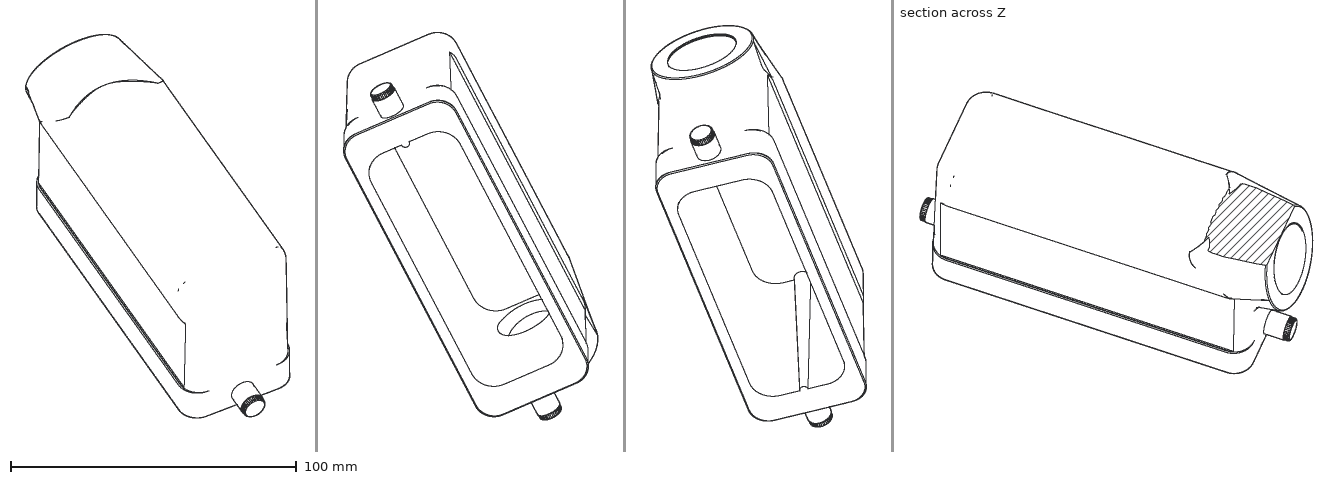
import cadquery as cq
import math

base_length = 120.1
base_width = 43.0
roof_length = 117.3
body_width = 41.7
hood_height = 62.6
corner_radius = 7.5
roof_fillet = 3.4
rim_height = 13.1
rim_edge = 0.4
shoulder_bevel = 0.7
panel_bottom_width = 40.8
panel_top_width = 39.8

overall_left = -72.9
overall_height = 69.2
pin_reach = 69.5
pin_height = 6.3
pin_diameter = 8.8
tip_diameter = 8.4
tip_core_diameter = 8.0
tip_length = 2.1
tip_chamfer = 0.4
knurl_count = 20
knurl_width = 0.5

neck_tilt = 15.0
neck_radius = 18.8
neck_edge = 0.4
split_drop = 0.5
ridge_x = -37.4
crown_side_angle = 28.0
crown_top_angle = 53.0
junction_fillet = 6.0
crown_blend = 6.5
blend_end = 0.1

bore_diameter = 25.0
bore_drop = 0.7
lead_in_depth = 0.4
bore_depth = 12.8
throat_diameter = 21.0
throat_depth = 25.6

end_wall = 10.7
side_wall = 4.3
roof_wall = 4.3
cavity_corner = 8.5
column_bottom_diameter = 3.0
column_top_diameter = 6.0

tilt = math.radians(neck_tilt)
face_radius = neck_radius - neck_edge
face_x = overall_left + face_radius * math.sin(tilt)
face_z = overall_height - neck_radius * math.cos(tilt) + neck_edge * math.sin(tilt)

split_z = face_z - split_drop / math.cos(tilt)
shoulder_x = (split_z + face_x * math.tan(tilt) - hood_height + ridge_x) / (1 + math.tan(tilt))
shoulder_z = hood_height + shoulder_x - ridge_x
split_angle = -math.degrees(math.asin(split_drop / neck_radius))


def neck_plane(depth):
    """Plane square to the neck axis, its normal pointing into the hood."""
    origin = (face_x + depth * math.cos(tilt), 0, face_z - depth * math.sin(tilt))
    return cq.Plane(origin, xDir=(0, 1, 0), normal=(math.cos(tilt), 0, -math.sin(tilt)))


def rounded_block(bottom, top, z_bottom, z_top, radius):
    """Tapered block between two (length, width) rectangles."""
    rise = cq.Location((0, 0, z_top - z_bottom))
    lower = cq.Sketch().rect(*bottom).vertices().fillet(radius)
    upper = cq.Sketch().rect(*top).vertices().fillet(radius).moved(rise)
    return cq.Workplane("XY", origin=(0, 0, z_bottom)).placeSketch(lower, upper).loft()


def make_hood():
    """Closed drafted block with a rim and recessed side panels."""
    foot = (base_length - 2 * rim_edge, base_width - 2 * rim_edge)
    base = (base_length, base_width)
    body = (base_length, body_width)
    roof = (roof_length, body_width)
    hood = rounded_block(body, roof, rim_height, hood_height, corner_radius)
    hood = hood.faces(">Z").edges().fillet(roof_fillet)
    hood = hood.union(rounded_block(base, base, rim_edge, rim_height, corner_radius))
    hood = hood.union(rounded_block(foot, base, 0, rim_edge, corner_radius - rim_edge))
    for side in (-1, 1):
        recess = (
            cq.Workplane("YZ", origin=(-base_length / 2, 0, 0))
            .polyline([
                (side * base_width, rim_height),
                (side * base_width / 2, rim_height),
                (side * panel_bottom_width / 2, rim_height + rim_edge),
                (side * panel_top_width / 2, shoulder_z - shoulder_bevel),
                (side * body_width / 2, shoulder_z),
                (side * base_width, shoulder_z),
            ])
            .close()
            .extrude(base_length)
        )
        hood = hood.cut(recess)
    return hood


def on_rim(degrees):
    """Point of the entry's rim in the neck plane, measured from its widest point."""
    angle = math.radians(degrees)
    return (neck_radius * math.cos(angle), neck_radius * math.sin(angle))


def make_lower_neck():
    """Half-round underside of the neck, from the face to the shoulder."""
    length = (shoulder_x - face_x) / math.cos(tilt)
    return (
        cq.Workplane(neck_plane(neck_edge))
        .moveTo(*on_rim(split_angle))
        .threePointArc(on_rim(-90), on_rim(180 - split_angle))
        .close()
        .extrude(length)
    )


def neck_crown_profile():
    """Upper half of the entry's rim, split where the flats of the crown begin."""
    low, high = crown_side_angle, crown_top_angle
    return (
        cq.Workplane(neck_plane(neck_edge))
        .moveTo(*on_rim(split_angle))
        .threePointArc(on_rim((split_angle + low) / 2), on_rim(low))
        .threePointArc(on_rim((low + high) / 2), on_rim(high))
        .threePointArc(on_rim(90), on_rim(180 - high))
        .threePointArc(on_rim(180 - (low + high) / 2), on_rim(180 - low))
        .threePointArc(on_rim(180 - (split_angle + low) / 2), on_rim(180 - split_angle))
        .close()
    )


def hood_slant_profile():
    """Section of the hood's upper part in the 45 degree junction plane."""
    half = body_width / 2
    stretch = math.sqrt(2)
    height = (hood_height - shoulder_z) * stretch
    sag = roof_fillet * (1 - math.sqrt(0.5))
    wall_top = height - roof_fillet * stretch
    flat = half - roof_fillet
    mid = (half - sag, height - sag * stretch)
    plane = cq.Plane((shoulder_x, 0, shoulder_z), xDir=(0, 1, 0), normal=(1, 0, -1))
    return (
        cq.Workplane(plane)
        .moveTo(half, 0)
        .lineTo(half, wall_top)
        .threePointArc(mid, (flat, height))
        .lineTo(-flat, height)
        .threePointArc((-mid[0], mid[1]), (-half, wall_top))
        .lineTo(-half, 0)
        .close()
    )


def blend_neck_underside(part):
    """Round the corner where the neck's underside runs into the end wall."""
    wall_x = -base_length / 2
    foot_z = face_z - neck_radius / math.cos(tilt) - (wall_x - face_x) * math.tan(tilt)
    near = (wall_x, -base_width, foot_z - junction_fillet / 2)
    far = (wall_x + corner_radius / 2, base_width, shoulder_z)
    return part.edges(cq.selectors.BoxSelector(near, far)).fillet(junction_fillet)


def make_neck_lip():
    """Bevelled edge of the entry's face."""
    return (
        cq.Workplane(neck_plane(0))
        .circle(face_radius)
        .workplane(offset=neck_edge)
        .circle(neck_radius)
        .loft()
    )


def make_crown_blend():
    """Lens-shaped concave blend between the neck's crown and the roof, widest at mid-width."""
    edge_y = body_width / 2 - roof_fillet
    crown_rise = face_z + neck_radius * math.cos(tilt) - hood_height
    crown_run = ridge_x - face_x - neck_radius * math.sin(tilt)
    wires = []
    for y, reach in ((-edge_y, blend_end), (0, crown_blend), (edge_y, blend_end)):
        rise = reach * crown_rise / crown_run
        wires.append(
            cq.Workplane("XZ", origin=(ridge_x, y, hood_height))
            .moveTo(reach, 0)
            .threePointArc((0, rise / 4), (-reach, rise))
            .lineTo(0, -roof_fillet)
            .close()
            .wire().val()
        )
    return cq.Workplane(cq.Solid.makeLoft(wires, False))


def make_upper_neck():
    """Crown of the neck, changing from the round rim to the hood's section."""
    wires = [neck_crown_profile().wire().val(), hood_slant_profile().wire().val()]
    return cq.Workplane(cq.Solid.makeLoft(wires, True))


def space_above_neck():
    """Everything left of the junction plane and above the crown's lower edge."""
    top = overall_height
    run = shoulder_x - overall_left
    return (
        cq.Workplane("XZ", origin=(0, base_width, 0))
        .polyline([
            (shoulder_x, shoulder_z),
            (ridge_x + top - hood_height, top),
            (overall_left, top),
            (overall_left, shoulder_z + run * math.tan(tilt)),
        ])
        .close()
        .extrude(2 * base_width)
    )


def make_pin(direction):
    """Locking pin along X with a knurled tip; direction is -1 or 1."""
    def rod(diameter, start, end):
        return (
            cq.Workplane("YZ", origin=(direction * start, 0, pin_height))
            .circle(diameter / 2)
            .extrude(direction * (end - start))
        )

    shoulder = pin_reach - tip_length
    pin = rod(pin_diameter, base_length / 2 - end_wall / 2, shoulder)
    tip = rod(tip_diameter, shoulder, pin_reach)
    tip = tip.faces(">X" if direction > 0 else "<X").chamfer(tip_chamfer)
    grooves = (
        cq.Workplane("YZ", origin=(direction * shoulder, 0, pin_height))
        .polarArray(tip_core_diameter / 2 + knurl_width / 2, 0, 360, knurl_count)
        .rect(knurl_width, knurl_width)
        .extrude(direction * tip_length)
    )
    return pin.union(tip.cut(grooves))


def make_cavity():
    """Inner space, open at the bottom, with a half column on the far wall."""
    length = base_length - 2 * end_wall
    width = base_width - 2 * side_wall
    draft = base_length - roof_length
    cavity = rounded_block(
        (length, width), (length - draft, width - draft), 0, hood_height - roof_wall, cavity_corner
    )
    column = (
        cq.Workplane("XY", origin=(length / 2, 0, 0))
        .circle(column_bottom_diameter / 2)
        .workplane(offset=hood_height - roof_wall)
        .center(-draft / 2, 0)
        .circle(column_top_diameter / 2)
        .loft()
    )
    return cavity.cut(column)


def make_entry_hole():
    """Stepped cable passage along the neck."""
    def drill(diameter, depth, drop):
        return cq.Workplane(neck_plane(0)).center(0, -drop).circle(diameter / 2).extrude(depth)

    lead_in = drill(bore_diameter, lead_in_depth, 0)
    bore = drill(bore_diameter, bore_depth, bore_drop)
    throat = drill(throat_diameter, throat_depth, bore_drop)
    return lead_in.union(bore).union(throat)


def make_part():
    """Hood with the tilted cable entry, hollowed out, with a pin on each end."""
    part = blend_neck_underside(make_hood().union(make_lower_neck()))
    part = part.cut(space_above_neck())
    for addition in (make_upper_neck(), make_crown_blend(), make_neck_lip()):
        part = part.union(addition)
    part = part.cut(make_cavity()).cut(make_entry_hole())
    for direction in (-1, 1):
        part = part.union(make_pin(direction))
    return part


result = make_part()